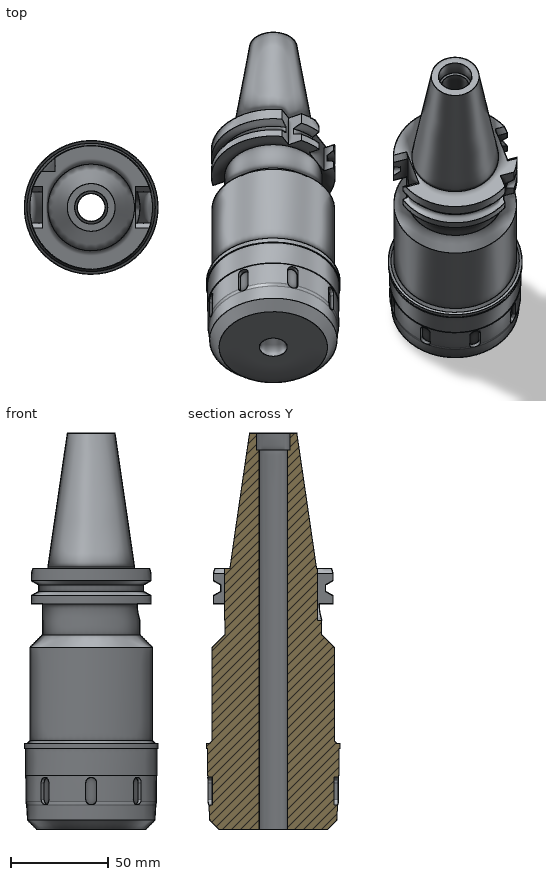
import cadquery as cq
import math

gauge_z = 135.0
taper_length = 68.4
top_z = gauge_z + taper_length

taper_ratio = 7 / 24
taper_radius = 44.45 / 2
taper_tip_radius = taper_radius - taper_length * taper_ratio / 2
bore_radius = 7.1
stud_hole_radius = 8.5
stud_hole_depth = 8.5

flange_radius = 63.55 / 2
flange_top_below_gauge = 1.0
flange_bottom_below_gauge = 19.1
groove_center_below_gauge = 11.1
flange_top_z = gauge_z - flange_top_below_gauge
flange_bottom_z = gauge_z - flange_bottom_below_gauge
groove_center_z = gauge_z - groove_center_below_gauge
groove_floor_radius = 56.25 / 2
groove_floor_width = 3.4
groove_flank_angle = 30.0
groove_flank_height = (flange_radius - groove_floor_radius) * math.tan(math.radians(groove_flank_angle))
groove_mouth_half = groove_floor_width / 2 + groove_flank_height

drive_slot_width = 16.1
drive_slot_chamfer = 2.6
shallow_slot_floor = 25.0
deep_slot_floor = 22.8
drive_slot_end_z = 107.5
notch_offset = 18.5

neck_radius = 25.0
body_radius = 31.5
shoulder_top_z = 100.0
shoulder_bottom_z = shoulder_top_z - (body_radius - neck_radius)
body_bottom_z = 45.7

collar_radius = 68.7 / 2
collar_top_z = 44.3
collar_bottom_z = 41.6
upper_nut_radius = 33.85
slotted_band_radius = 33.6
slotted_band_top_z = 27.9
slotted_band_bottom_z = 14.5
nose_cone_top_z = 12.7
nose_cone_top_radius = 33.2
nose_cone_bottom_radius = 32.7
nose_chamfer = 4.9

spanner_slot_count = 8
spanner_slot_width = 5.6
spanner_slot_bottom_z = 12.8
spanner_slot_top_z = 26.8
spanner_slot_floor = 31.3


def make_turned_body():
    """Revolve the half profile of the holder about Z."""
    profile = [
        (0, 0),
        (nose_cone_bottom_radius - nose_chamfer, 0),
        (nose_cone_bottom_radius, nose_chamfer),
        (nose_cone_top_radius, nose_cone_top_z),
        (slotted_band_radius, slotted_band_bottom_z),
        (slotted_band_radius, slotted_band_top_z),
        (upper_nut_radius, slotted_band_top_z),
        (upper_nut_radius, collar_bottom_z),
        (collar_radius, collar_bottom_z),
        (collar_radius, collar_top_z),
        (body_radius + body_bottom_z - collar_top_z, collar_top_z),
        (body_radius, body_bottom_z),
        (body_radius, shoulder_bottom_z),
        (neck_radius, shoulder_top_z),
        (neck_radius, flange_bottom_z),
        (flange_radius, flange_bottom_z),
        (flange_radius, groove_center_z - groove_mouth_half),
        (groove_floor_radius, groove_center_z - groove_floor_width / 2),
        (groove_floor_radius, groove_center_z + groove_floor_width / 2),
        (flange_radius, groove_center_z + groove_mouth_half),
        (flange_radius, flange_top_z),
        (taper_radius, flange_top_z),
        (taper_radius, gauge_z),
        (taper_tip_radius, top_z),
        (0, top_z),
    ]
    return cq.Workplane("XZ").polyline(profile).close().revolve(360, (0, 0, 0), (0, 1, 0))


def make_bore():
    """Through bore with the wider pull-stud hole at the taper end."""
    bore = cq.Workplane("XY").circle(bore_radius).extrude(top_z)
    stud_hole = (
        cq.Workplane("XY")
        .workplane(offset=top_z - stud_hole_depth)
        .circle(stud_hole_radius)
        .extrude(stud_hole_depth)
    )
    return bore.union(stud_hole)


def make_drive_slot(floor_distance):
    """Cutter for a +X drive slot: round lower end, chamfered mouth at the flange top."""
    half = drive_slot_width / 2
    mouth_half = half + drive_slot_chamfer
    chamfer_z = flange_top_z - drive_slot_chamfer
    end_center_z = drive_slot_end_z + half
    return (
        cq.Workplane("YZ")
        .workplane(offset=floor_distance)
        .moveTo(-half, end_center_z)
        .threePointArc((0, drive_slot_end_z), (half, end_center_z))
        .lineTo(half, chamfer_z)
        .lineTo(mouth_half, flange_top_z)
        .lineTo(-mouth_half, flange_top_z)
        .lineTo(-half, chamfer_z)
        .close()
        .extrude(collar_radius - floor_distance)
    )


def make_orientation_notch():
    """Square corner cut through the flange on its -X, +Y side."""
    height = flange_top_z - flange_bottom_z
    corner = cq.Workplane("XY").box(flange_radius, flange_radius, height, centered=False)
    return corner.translate((-notch_offset - flange_radius, notch_offset, flange_bottom_z))


def make_spanner_slot():
    """Cutter for one upright, round-ended slot with a flat floor, facing +X."""
    return (
        cq.Workplane("YZ")
        .workplane(offset=spanner_slot_floor)
        .center(0, (spanner_slot_bottom_z + spanner_slot_top_z) / 2)
        .slot2D(spanner_slot_top_z - spanner_slot_bottom_z, spanner_slot_width, 90)
        .extrude(collar_radius - spanner_slot_floor)
    )


def turned_about_z(cutter, angle):
    """Rotate a cutter about the spindle axis by an angle in degrees."""
    return cutter.rotate((0, 0, 0), (0, 0, 1), angle)


result = make_turned_body().cut(make_bore())
result = result.cut(make_drive_slot(deep_slot_floor))
result = result.cut(turned_about_z(make_drive_slot(shallow_slot_floor), 180))
result = result.cut(make_orientation_notch())
for index in range(spanner_slot_count):
    slot_angle = index * 360 / spanner_slot_count
    result = result.cut(turned_about_z(make_spanner_slot(), slot_angle))